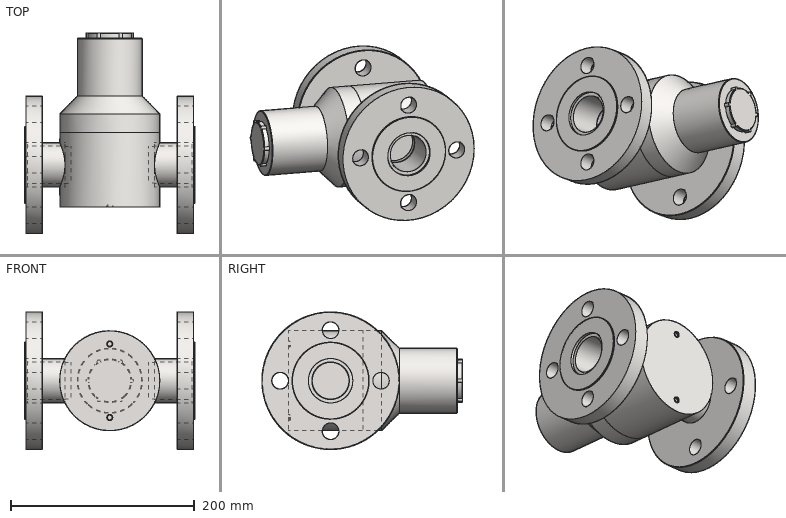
import cadquery as cq
import math


face_to_face = 186.0
flange_diameter = 150.0
flange_edge_chamfer = 0.7
flange_length = 20.0
raised_face_diameter = 84.0
raised_face_height = 1.5
raised_face_chamfer = 0.5
bolt_hole_diameter = 18.0
bolt_circle_diameter = 110.0
bolt_count = 4

pipe_diameter = 48.5
pipe_bore = 41.0
pipe_setback = 3.0
port_bore = 40.0
port_bore_depth = 6.5

housing_diameter = 109.0
overall_length = 219.0
housing_bottom = -46.0
housing_top = 35.0
cone_start = 55.6
neck_start = flange_diameter / 2
neck_diameter = 71.0
neck_chamfer = 0.7

drilled_diameter = 5.3
drilled_depth = 2.2
step_diameter = 6.5
step_depth = 1.0
drilled_radius = 40.0

knob_height = 6.0
knob_diameter = 47.5
knob_chamfer = 0.9
grip_count = 6
grip_diameter = 4.2
grip_circle_diameter = 47.5

face_x = face_to_face / 2
flange_inner_x = face_x - flange_length
pipe_outer_x = face_x - pipe_setback
pipe_seat_x = math.sqrt(housing_diameter**2 - pipe_diameter**2) / 2
knob_end = overall_length - flange_diameter / 2
neck_end = knob_end - knob_height


def rod_x(diameter, start, end):
    """Solid cylinder on the X axis between two X positions."""
    return cq.Workplane("YZ", origin=(start, 0, 0)).circle(diameter / 2).extrude(end - start)


def rod_y(diameter, start, end):
    """Solid cylinder on the Y axis between two Y positions."""
    return cq.Workplane("XZ", origin=(0, start, 0)).circle(diameter / 2).extrude(start - end)


def on_side(body, side):
    """Turn a body built on the +X side about Z when it belongs on the -X side."""
    return body if side > 0 else body.rotate((0, 0, 0), (0, 0, 1), 180)


def make_flange(side):
    plate_outer_x = face_x - raised_face_height
    plate = rod_x(flange_diameter, flange_inner_x, plate_outer_x)
    plate = plate.faces("<X").edges().chamfer(flange_edge_chamfer)
    raised_face = rod_x(raised_face_diameter, plate_outer_x, face_x)
    flange = plate.union(raised_face.faces(">X").edges().chamfer(raised_face_chamfer))
    bolt_holes = (
        cq.Workplane("YZ", origin=(flange_inner_x, 0, 0))
        .polarArray(bolt_circle_diameter / 2, 0, 360, bolt_count)
        .circle(bolt_hole_diameter / 2)
        .extrude(flange_length)
    )
    flange = flange.cut(bolt_holes).cut(rod_x(pipe_diameter, flange_inner_x, face_x))
    return on_side(flange, side)


def make_pipe(side):
    pipe = rod_x(pipe_diameter, pipe_seat_x, pipe_outer_x)
    pipe = pipe.cut(rod_x(pipe_bore, pipe_seat_x, pipe_outer_x))
    return on_side(pipe, side)


def make_housing():
    housing = rod_y(housing_diameter, housing_bottom, housing_top)
    for side in (1, -1):
        pipe_seat = rod_x(pipe_diameter, pipe_seat_x, housing_diameter / 2)
        blind_bore = rod_x(port_bore, pipe_seat_x - port_bore_depth, pipe_seat_x)
        housing = housing.cut(on_side(pipe_seat.union(blind_bore), side))
    return (
        housing.faces("<Y")
        .workplane(origin=(0, housing_bottom, 0))
        .pushPoints([(0, drilled_radius), (0, -drilled_radius)])
        .cboreHole(drilled_diameter, step_diameter, step_depth, drilled_depth)
    )


def make_bonnet():
    """Rim, cone and neck, turned about the Y axis."""
    rim_radius = housing_diameter / 2
    neck_radius = neck_diameter / 2
    return (
        cq.Workplane("XY")
        .moveTo(0, housing_top)
        .lineTo(rim_radius, housing_top)
        .lineTo(rim_radius, cone_start)
        .lineTo(neck_radius, neck_start)
        .lineTo(neck_radius, neck_end - neck_chamfer)
        .lineTo(neck_radius - neck_chamfer, neck_end)
        .lineTo(0, neck_end)
        .close()
        .revolve(360, (0, 0, 0), (0, 1, 0))
    )


def make_knob():
    disc = rod_y(knob_diameter, neck_end, knob_end).faces(">Y").edges().chamfer(knob_chamfer)
    grips = (
        cq.Workplane("XZ", origin=(0, neck_end, 0))
        .polarArray(grip_circle_diameter / 2, 0, 360, grip_count)
        .circle(grip_diameter / 2)
        .extrude(-knob_height)
    )
    return disc.union(grips)


housing = make_housing()
bonnet = make_bonnet()
knob = make_knob()
flanges = [make_flange(side) for side in (1, -1)]
pipes = [make_pipe(side) for side in (1, -1)]

result = cq.Compound.makeCompound(
    [
        housing.val(),
        bonnet.val(),
        knob.val(),
        *[flange.val() for flange in flanges],
        *[pipe.val() for pipe in pipes],
    ]
)